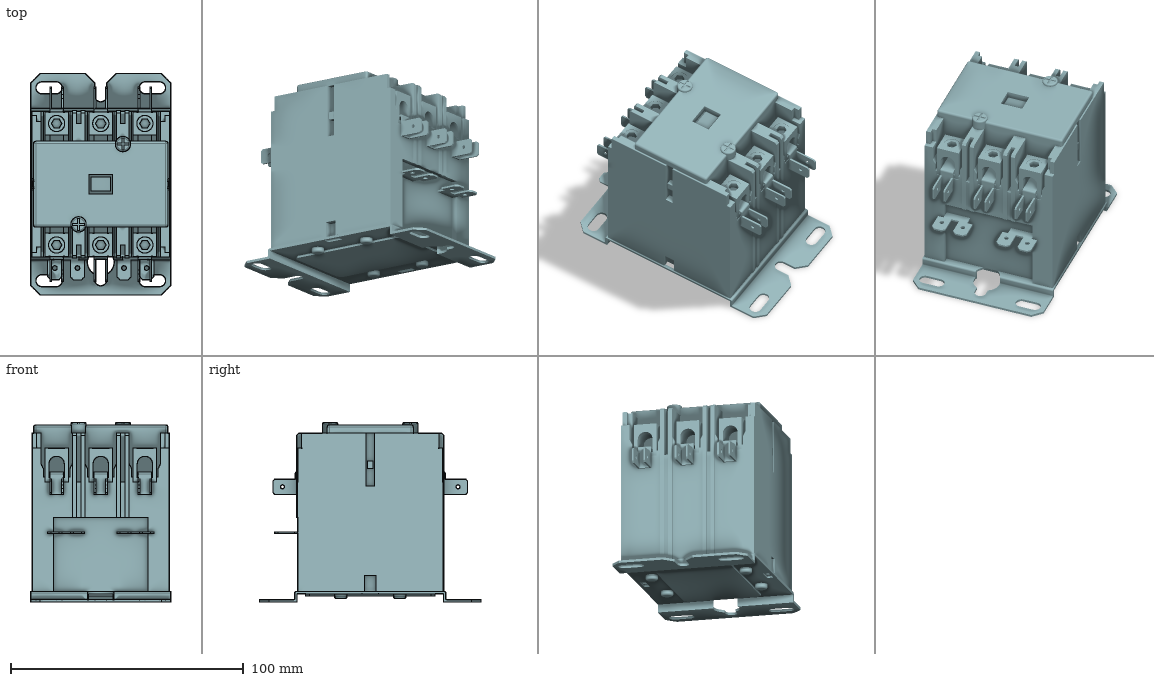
import cadquery as cq
import math

PLATE_WIDTH = 60.2
PLATE_LENGTH = 95.25
PLATE_HEIGHT = 4.6
SHEET = 1.05
STEP_OUTER_Y = 32.5
BEND_RADIUS = 0.8
INNER_BEND_RADIUS = 0.5
PLATE_CHAMFER = 4.1
SLOT_WIDTH = 5.05
SLOT_LENGTH = 11.2
SLOT_X = 22.2
SLOT_Y = 41.4
NOTCH_DEPTH = 12.2
KEYHOLE_DIAMETER = 11.4
KEYHOLE_Y = -33.5
KEYHOLE_END_Y = -43.6

BACKING_WIDTH = 34.3
BACKING_LENGTH = 55.8
BACKING_THICKNESS = 1.0
BACKING_CHAMFER = 1.9
FOOT_DIAMETER = 5.3
FOOT_X = 21.0
FOOT_Y = 12.7
FOOT_BOTTOM = 1.4
FOOT_RADIUS = 0.9

BODY_WIDTH = 59.1
BODY_LENGTH = 62.5
BODY_TOP = 72.6
FRONT_Y = BODY_LENGTH / 2
SIDE_X = BODY_WIDTH / 2
COIL_RECESS_WIDTH = 40.6
COIL_RECESS_TOP = 36.4
COIL_RECESS_DEPTH = 2.4
UPPER_GROOVE_WIDTH = 3.5
UPPER_GROOVE_BOTTOM = 49.8
UPPER_GROOVE_DEPTH = 2.9
LATCH_WIDTH = 2.4
LATCH_BOTTOM = 57.3
LATCH_HEIGHT = 3.3
LATCH_SETBACK = 0.5
LOWER_GROOVE_WIDTH = 5.05
LOWER_GROOVE_TOP = 11.4
LOWER_GROOVE_DEPTH = 3.4
LOWER_GROOVE_RIM = 0.9
PLATE_OPENING_LENGTH = 7.1
CORNER_NOTCH_BOTTOM = 66.1
CORNER_NOTCH_STEP_X = 2.0
CORNER_NOTCH_SHALLOW = 1.8
CORNER_NOTCH_DEEP = 4.2

COVER_WIDTH = 57.7
COVER_LENGTH = 37.0
COVER_TOP = 76.1
COVER_RADIUS = 1.0
WINDOW_WIDTH = 9.9
WINDOW_LENGTH = 8.4
WINDOW_DEPTH = 3.3
PLUNGER_WIDTH = 8.5
PLUNGER_LENGTH = 6.1
PLUNGER_Y = 0.1
PLUNGER_SETBACK = 2.0

PART_TOP = 77.2
SCREW_X = 9.5
SCREW_Y = 17.2
SCREW_DIAMETER = 6.6
SCREW_EDGE_RADIUS = 0.7
CROSS_WIDTH = 1.0
CROSS_DEPTH = 0.6
CROSS_LENGTH = SCREW_DIAMETER - 2 * SCREW_EDGE_RADIUS

POLE_PITCH = 19.0
POLES_X = (-POLE_PITCH, 0, POLE_PITCH)
SIDES_Y = (-1, 1)
POCKET_INNER_Y = COVER_LENGTH / 2
POCKET_HALF_TOP = 6.8
POCKET_HALF_BOTTOM = 5.7
POCKET_BOTTOM = 53.7
POCKET_TAPER_LOW = 57.3
POCKET_TAPER_HIGH = 59.4
BARRIER_X = POLE_PITCH / 2
RIB_SPAN = POLE_PITCH - 2 * POCKET_HALF_TOP
RIB_GAP = 1.8
RIB_PROUD = 0.4
RIB_CHAMFER = 1.0
RIB_SLOT_BOTTOM = 51.6
RIB_SLOT_LENGTH = 5.4

BLOCK_WIDTH = 10.1
BLOCK_LENGTH = 9.9
BLOCK_BOTTOM = 51.6
BLOCK_TOP = 66.1
BLOCK_SETBACK = 0.3
ARCH_DIAMETER = 6.6
ARCH_BOTTOM = 53.4
ARCH_CENTER_Z = 59.3
CLAMP_SCREW_DIAMETER = 7.0
CLAMP_SCREW_SETBACK = 0.2
CLAMP_SCREW_Y = 26.1
HEX_FLATS = 3.9
HEX_DEPTH = 2.9

SPADE_THICKNESS = 0.8
SPADE_OUTER_WIDTH = 5.8
SPADE_TIP_Y = 41.8
SPADE_BOTTOM = 46.2
SPADE_TOP = 52.8
SPADE_CHAMFER = 0.8
SPADE_HOLE_DIAMETER = 1.6
SPADE_HOLE_Y = 37.7
TONGUE_TOP = 55.8
TERMINAL_FACE_Y = 32.3

TAB_X = 14.9
TAB_Z = 29.7
TAB_THICKNESS = 0.8
TAB_BAR_WIDTH = 10.9
TAB_SHOULDER_Y = 32.6
TAB_TIP_Y = 41.1
PRONG_WIDTH = 6.2
PRONG_OFFSET = 4.9
PRONG_CHAMFER = 1.3
PRONG_HOLE_DIAMETER = 2.0
PRONG_HOLE_Y = 36.0


def box(x_range, y_range, z_range):
    """Axis-aligned box; each range may be given in either order."""
    spans = [sorted(r) for r in (x_range, y_range, z_range)]
    size = [high - low for low, high in spans]
    corner = [low for low, high in spans]
    return cq.Workplane("XY").box(*size, centered=False).translate(corner)


def centred(middle, width):
    return (middle - width / 2, middle + width / 2)


def cylinder(x, y, diameter, bottom, top):
    plane = cq.Workplane("XY", origin=(x, y, bottom))
    return plane.circle(diameter / 2).extrude(top - bottom)


def mirror_to(shape, side_y):
    """Move a shape modelled on the -Y end to the +Y end when side_y is 1."""
    return shape if side_y < 0 else shape.mirror("XZ")


def mounting_plate():
    end_y = PLATE_LENGTH / 2
    step_inner_y = STEP_OUTER_Y - SHEET
    half_profile = [
        (step_inner_y, PLATE_HEIGHT - SHEET),
        (step_inner_y, 0),
        (end_y, 0),
        (end_y, SHEET),
        (STEP_OUTER_Y, SHEET),
        (STEP_OUTER_Y, PLATE_HEIGHT),
    ]
    other_half = [(-y, z) for y, z in reversed(half_profile)]
    plate = (
        cq.Workplane("YZ")
        .polyline(half_profile + other_half)
        .close()
        .extrude(PLATE_WIDTH / 2, both=True)
    )
    plate = plate.edges("|Z").edges("<Y or >Y").chamfer(PLATE_CHAMFER)
    plate = plate.faces(">Z").edges("|X").fillet(BEND_RADIUS)
    for y in (-STEP_OUTER_Y, STEP_OUTER_Y):
        inner_corner = cq.selectors.NearestToPointSelector((0, y, SHEET))
        plate = plate.edges(inner_corner).fillet(INNER_BEND_RADIUS)

    slots = (
        cq.Workplane("XY")
        .rect(2 * SLOT_X, 2 * SLOT_Y, forConstruction=True)
        .vertices()
        .slot2D(SLOT_LENGTH, SLOT_WIDTH)
        .extrude(PLATE_HEIGHT)
    )
    return plate.cut(slots).cut(end_notch()).cut(keyhole())


def end_notch():
    """Round-bottomed slot with a flared mouth in the +Y edge."""
    end_y = PLATE_LENGTH / 2
    half = SLOT_WIDTH / 2
    bottom_y = end_y - NOTCH_DEPTH
    return (
        cq.Workplane("XY")
        .moveTo(-half, bottom_y + half)
        .threePointArc((0, bottom_y), (half, bottom_y + half))
        .lineTo(half, end_y - PLATE_CHAMFER)
        .lineTo(half + PLATE_CHAMFER, end_y)
        .lineTo(-half - PLATE_CHAMFER, end_y)
        .lineTo(-half, end_y - PLATE_CHAMFER)
        .close()
        .extrude(SHEET)
    )


def keyhole():
    neck_y = KEYHOLE_END_Y + SLOT_WIDTH / 2
    neck = box(centred(0, SLOT_WIDTH), (neck_y, KEYHOLE_Y), (0, PLATE_HEIGHT))
    neck_end = cylinder(0, neck_y, SLOT_WIDTH, 0, PLATE_HEIGHT)
    return cylinder(0, KEYHOLE_Y, KEYHOLE_DIAMETER, 0, PLATE_HEIGHT).union(neck).union(neck_end)


def underside():
    """Backing sheet below the plate with four round feet."""
    top = PLATE_HEIGHT - SHEET
    backing = box(
        centred(0, BACKING_WIDTH),
        centred(0, BACKING_LENGTH),
        (top - BACKING_THICKNESS, top),
    )
    backing = backing.edges("|Z").chamfer(BACKING_CHAMFER)
    for x in (-FOOT_X, FOOT_X):
        for y in (-FOOT_Y, FOOT_Y):
            foot = cylinder(x, y, FOOT_DIAMETER, FOOT_BOTTOM, top)
            backing = backing.union(foot.faces("<Z").edges().fillet(FOOT_RADIUS))
    return backing


def housing():
    body = box(centred(0, BODY_WIDTH), centred(0, BODY_LENGTH), (PLATE_HEIGHT, BODY_TOP))
    body = body.union(cover())
    coil_recess = box(
        centred(0, COIL_RECESS_WIDTH),
        (-FRONT_Y, -FRONT_Y + COIL_RECESS_DEPTH),
        (PLATE_HEIGHT, COIL_RECESS_TOP),
    )
    body = body.cut(coil_recess)
    for side_y in SIDES_Y:
        for x in POLES_X:
            body = body.cut(mirror_to(pole_pocket(x), side_y))
        for side_x in (-1, 1):
            body = body.cut(mirror_to(corner_notch(side_x), side_y))
            body = add_barrier(body, side_x * BARRIER_X, side_y)
    for side_x in (-1, 1):
        body = cut_upper_groove(body, side_x)
    return body


def cover():
    block = box(centred(0, COVER_WIDTH), centred(0, COVER_LENGTH), (BODY_TOP, COVER_TOP))
    block = block.edges("|Z or >Z").fillet(COVER_RADIUS)
    window_floor = COVER_TOP - WINDOW_DEPTH
    window = box(
        centred(0, WINDOW_WIDTH), centred(0, WINDOW_LENGTH), (window_floor, COVER_TOP)
    )
    plunger = box(
        centred(0, PLUNGER_WIDTH),
        centred(PLUNGER_Y, PLUNGER_LENGTH),
        (window_floor, COVER_TOP - PLUNGER_SETBACK),
    )
    return block.cut(window).union(plunger)


def pole_pocket(x):
    """Open-topped pocket on the -Y end whose side walls close in near the floor."""
    half_outline = [
        (POCKET_HALF_BOTTOM, POCKET_BOTTOM),
        (POCKET_HALF_BOTTOM, POCKET_TAPER_LOW),
        (POCKET_HALF_TOP, POCKET_TAPER_HIGH),
        (POCKET_HALF_TOP, BODY_TOP),
    ]
    other_half = [(-u, z) for u, z in reversed(half_outline)]
    pocket = (
        cq.Workplane("XZ", origin=(x, -POCKET_INNER_Y, 0))
        .polyline(half_outline + other_half)
        .close()
        .extrude(FRONT_Y - POCKET_INNER_Y)
    )
    block_slot = box(
        centred(x, BLOCK_WIDTH), (-FRONT_Y, -POCKET_INNER_Y), (BLOCK_BOTTOM, POCKET_BOTTOM)
    )
    return pocket.union(block_slot)


def corner_notch(side_x):
    """Two-step notch in the top of one corner of the -Y end."""
    wall_inner_x = POLE_PITCH + POCKET_HALF_TOP
    step_x = SIDE_X - CORNER_NOTCH_STEP_X
    z_range = (CORNER_NOTCH_BOTTOM, BODY_TOP)
    shallow = box(
        (side_x * step_x, side_x * SIDE_X),
        (-FRONT_Y, -FRONT_Y + CORNER_NOTCH_SHALLOW),
        z_range,
    )
    deep = box(
        (side_x * wall_inner_x, side_x * step_x),
        (-FRONT_Y, -FRONT_Y + CORNER_NOTCH_DEEP),
        z_range,
    )
    return shallow.union(deep)


def add_barrier(body, x, side_y):
    """Give the wall between two poles a pair of ribs and a slot between them."""
    rib_y = FRONT_Y + RIB_PROUD
    rib_bottom = COIL_RECESS_TOP if side_y < 0 else PLATE_HEIGHT
    ribs = box(centred(x, RIB_SPAN), (-rib_y, -FRONT_Y + RIB_CHAMFER), (rib_bottom, BODY_TOP))
    chamfer_cut = (
        cq.Workplane("YZ", origin=(x - RIB_SPAN / 2, 0, 0))
        .moveTo(-rib_y, BODY_TOP)
        .lineTo(-rib_y + RIB_CHAMFER, BODY_TOP)
        .lineTo(-rib_y, BODY_TOP - RIB_CHAMFER)
        .close()
        .extrude(RIB_SPAN)
    )
    shallow_gap = box(centred(x, RIB_GAP), (-rib_y, -FRONT_Y), (rib_bottom, BODY_TOP))
    slot = box(
        centred(x, RIB_GAP), (-rib_y, -rib_y + RIB_SLOT_LENGTH), (RIB_SLOT_BOTTOM, BODY_TOP)
    )
    body = body.union(mirror_to(ribs, side_y))
    return body.cut(mirror_to(chamfer_cut.union(shallow_gap).union(slot), side_y))


def cut_upper_groove(body, side_x):
    """Vertical groove in a side face with a small latch block inside it."""
    floor_x = side_x * (SIDE_X - UPPER_GROOVE_DEPTH)
    groove = box(
        (floor_x, side_x * SIDE_X),
        centred(0, UPPER_GROOVE_WIDTH),
        (UPPER_GROOVE_BOTTOM, BODY_TOP),
    )
    latch = box(
        (floor_x, side_x * (SIDE_X - LATCH_SETBACK)),
        centred(0, LATCH_WIDTH),
        (LATCH_BOTTOM, LATCH_BOTTOM + LATCH_HEIGHT),
    )
    return body.cut(groove).union(latch)


def lower_groove(side_x):
    """Notch at the foot of a side face that carries on down through the plate."""
    floor_x = side_x * (SIDE_X - LOWER_GROOVE_DEPTH)
    notch = box(
        (floor_x, side_x * SIDE_X),
        centred(0, LOWER_GROOVE_WIDTH),
        (PLATE_HEIGHT, LOWER_GROOVE_TOP),
    )
    opening = box(
        (floor_x, side_x * (SIDE_X - LOWER_GROOVE_RIM)),
        centred(0, PLATE_OPENING_LENGTH),
        (0, PLATE_HEIGHT),
    )
    return notch.union(opening)


def cover_screw(x, y):
    screw = cylinder(x, y, SCREW_DIAMETER, BODY_TOP, PART_TOP)
    screw = screw.faces(">Z").edges().fillet(SCREW_EDGE_RADIUS)
    depth = (PART_TOP - CROSS_DEPTH, PART_TOP)
    bar_x = box(centred(x, CROSS_LENGTH), centred(y, CROSS_WIDTH), depth)
    bar_y = box(centred(x, CROSS_WIDTH), centred(y, CROSS_LENGTH), depth)
    return screw.cut(bar_x).cut(bar_y)


def terminal_block(x):
    """Clamp block on the -Y end with an arched wire opening and a hex socket screw."""
    front_y = -FRONT_Y + BLOCK_SETBACK
    back_y = front_y + BLOCK_LENGTH
    block = box(centred(x, BLOCK_WIDTH), (front_y, back_y), (BLOCK_BOTTOM, BLOCK_TOP))
    radius = ARCH_DIAMETER / 2
    arch = (
        cq.Workplane("XZ", origin=(x, back_y, 0))
        .moveTo(-radius, ARCH_BOTTOM)
        .lineTo(radius, ARCH_BOTTOM)
        .lineTo(radius, ARCH_CENTER_Z)
        .threePointArc((0, ARCH_CENTER_Z + radius), (-radius, ARCH_CENTER_Z))
        .close()
        .extrude(BLOCK_LENGTH)
    )
    screw_top = BLOCK_TOP - CLAMP_SCREW_SETBACK
    screw_recess = cylinder(x, -CLAMP_SCREW_Y, CLAMP_SCREW_DIAMETER, screw_top, BLOCK_TOP)
    socket = (
        cq.Workplane("XY", origin=(x, -CLAMP_SCREW_Y, screw_top))
        .polygon(6, HEX_FLATS / math.cos(math.pi / 6))
        .extrude(-HEX_DEPTH)
    )
    return block.cut(arch).cut(screw_recess).cut(socket)


def spade_terminal(x):
    """Bent strip on the -Y end: a tongue through the arch and two forward spades."""
    width = centred(x, SPADE_OUTER_WIDTH)
    tongue = box(
        width, (-TERMINAL_FACE_Y, -POCKET_INNER_Y), (TONGUE_TOP - SPADE_THICKNESS, TONGUE_TOP)
    )
    face = box(
        width,
        (-TERMINAL_FACE_Y, -TERMINAL_FACE_Y + SPADE_THICKNESS),
        (SPADE_BOTTOM, TONGUE_TOP),
    )
    strip = tongue.union(face)
    strip = strip.edges("|X").edges("<Y").edges(">Z").fillet(SPADE_THICKNESS)
    hole = (
        cq.Workplane("YZ", origin=(x, -SPADE_HOLE_Y, (SPADE_BOTTOM + SPADE_TOP) / 2))
        .circle(SPADE_HOLE_DIAMETER / 2)
        .extrude(SPADE_OUTER_WIDTH / 2, both=True)
    )
    for side_x in (-1, 1):
        outer_x = x + side_x * SPADE_OUTER_WIDTH / 2
        spade = box(
            (outer_x, outer_x - side_x * SPADE_THICKNESS),
            (-SPADE_TIP_Y, -TERMINAL_FACE_Y + SPADE_THICKNESS),
            (SPADE_BOTTOM, SPADE_TOP),
        )
        strip = strip.union(spade.edges("|X").edges("<Y").chamfer(SPADE_CHAMFER))
    return strip.cut(hole)


def coil_tab(x):
    """Flat U-shaped tab with two holed prongs, standing out of the coil recess."""
    thickness = centred(TAB_Z, TAB_THICKNESS)
    recess_floor_y = -FRONT_Y + COIL_RECESS_DEPTH
    tab = box(centred(x, TAB_BAR_WIDTH), (-TAB_SHOULDER_Y, recess_floor_y), thickness)
    for prong_x in (x - PRONG_OFFSET, x + PRONG_OFFSET):
        prong = box(centred(prong_x, PRONG_WIDTH), (-TAB_TIP_Y, -TAB_SHOULDER_Y), thickness)
        prong = prong.edges("|Z").edges("<Y").chamfer(PRONG_CHAMFER)
        hole = cylinder(prong_x, -PRONG_HOLE_Y, PRONG_HOLE_DIAMETER, *thickness)
        tab = tab.union(prong.cut(hole))
    return tab


result = mounting_plate().union(underside()).union(housing())
for side in (-1, 1):
    result = result.cut(lower_groove(side))
    result = result.union(cover_screw(side * SCREW_X, side * SCREW_Y))
    result = result.union(coil_tab(side * TAB_X))
for end in SIDES_Y:
    for pole_x in POLES_X:
        result = result.union(mirror_to(terminal_block(pole_x), end))
        result = result.union(mirror_to(spade_terminal(pole_x), end))